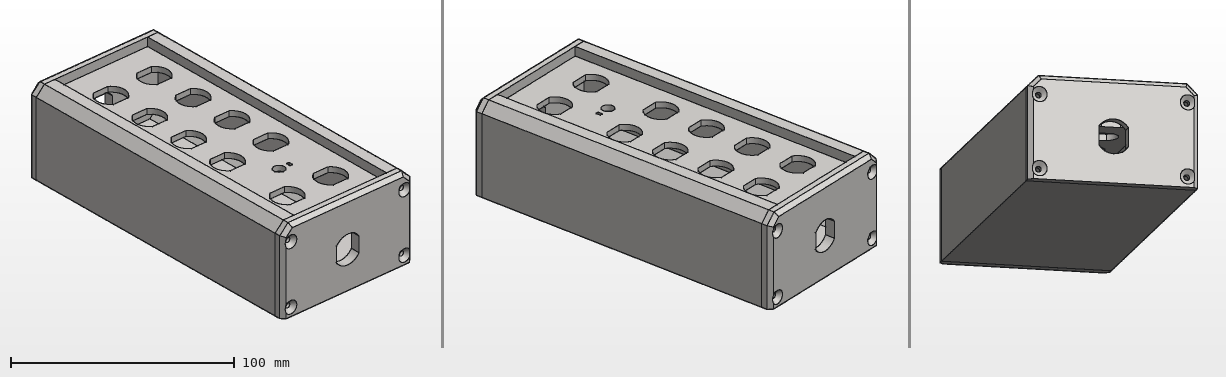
import cadquery as cq
import math

LENGTH = 170.0
WIDTH = 78.0
HEIGHT = 48.0
EDGE_CHAMFER = 5.0
SIDE_WALL = 5.0
FLOOR = 5.0

CAP_THICKNESS = 5.1
CAP_CHAMFER = 2.0

PANEL_WIDTH = 55.6
PANEL_RECESS = 5.0
PANEL_THICKNESS = 3.0

CUTOUT_DIAMETER = 16.0
CUTOUT_FLATS = 13.5
CUTOUT_PITCH_X = 26.0
CUTOUT_PITCH_Y = 26.0
CAP_CUTOUT_Z = 21.5
CUTOUT_END_X = 59.0
GRID_COLUMNS = 4

ROUND_HOLE_DIAMETER = 6.1
SLOT_LENGTH = 2.5
SLOT_WIDTH = 1.5
SLOT_OFFSET = 6.3

SCREW_DIAMETER = 2.5
SCREW_HEAD_DIAMETER = 7.0
SCREW_INSET = 5.0
SCREW_TOP_INSET = 9.0
SCREW_DEPTH = 10.2
DRILL_POINT_ANGLE = 118.0
CORNER_FILL = 5.0

HOUSING_LENGTH = LENGTH - 2 * CAP_THICKNESS
HOUSING_END = HOUSING_LENGTH / 2
PANEL_TOP = HEIGHT - PANEL_RECESS
PANEL_BOTTOM = PANEL_TOP - PANEL_THICKNESS
CAVITY_HALF_WIDTH = WIDTH / 2 - SIDE_WALL
UPPER_CORNER_FILL = CAVITY_HALF_WIDTH - PANEL_WIDTH / 2
GRID_X = [-CUTOUT_END_X + i * CUTOUT_PITCH_X for i in range(GRID_COLUMNS)]
CUTOUT_X = GRID_X + [CUTOUT_END_X]
ROUND_HOLE_X = (CUTOUT_X[-2] + CUTOUT_X[-1]) / 2
SCREW_POINTS = [
    (side * (WIDTH / 2 - SCREW_INSET), z)
    for side in (-1, 1)
    for z in (SCREW_INSET, HEIGHT - SCREW_TOP_INSET)
]


def outer_profile(x):
    """Enclosure outline in the YZ plane at the given X."""
    half = WIDTH / 2
    return cq.Workplane("YZ", origin=(x, 0, 0)).polyline([
        (-half, 0),
        (half, 0),
        (half, HEIGHT - EDGE_CHAMFER),
        (half - EDGE_CHAMFER, HEIGHT),
        (-half + EDGE_CHAMFER, HEIGHT),
        (-half, HEIGHT - EDGE_CHAMFER),
    ]).close()


def cavity_profile(x):
    """Inner outline, with sloped corners that leave material for the screws."""
    half = CAVITY_HALF_WIDTH
    return cq.Workplane("YZ", origin=(x, 0, 0)).polyline([
        (-half + CORNER_FILL, FLOOR),
        (half - CORNER_FILL, FLOOR),
        (half, FLOOR + CORNER_FILL),
        (half, PANEL_BOTTOM - UPPER_CORNER_FILL),
        (half - UPPER_CORNER_FILL, PANEL_BOTTOM),
        (-half + UPPER_CORNER_FILL, PANEL_BOTTOM),
        (-half, PANEL_BOTTOM - UPPER_CORNER_FILL),
        (-half, FLOOR + CORNER_FILL),
    ]).close()


def double_flat_cutter(depth):
    """Round bar along Z with two flats facing +X and -X, starting at Z = 0."""
    bar = cq.Workplane("XY").circle(CUTOUT_DIAMETER / 2).extrude(depth)
    flats = cq.Workplane("XY").rect(CUTOUT_FLATS, CUTOUT_DIAMETER).extrude(depth)
    return bar.intersect(flats)


def screw_hole_cutter():
    """Blind hole along +X from X = 0, ending in a drill point."""
    radius = SCREW_DIAMETER / 2
    point = radius / math.tan(math.radians(DRILL_POINT_ANGLE / 2))
    half_section = cq.Workplane("XY").polyline([
        (0, 0),
        (0, radius),
        (SCREW_DEPTH, radius),
        (SCREW_DEPTH + point, 0),
    ]).close()
    return half_section.revolve(360, (0, 0, 0), (1, 0, 0))


def make_housing():
    """Floor, side walls and top rails, open at both ends."""
    body = outer_profile(-HOUSING_END).extrude(HOUSING_LENGTH)
    body = body.cut(cavity_profile(-HOUSING_END).extrude(HOUSING_LENGTH))

    opening = cq.Workplane("XY", origin=(0, 0, PANEL_BOTTOM))
    opening = opening.rect(HOUSING_LENGTH, PANEL_WIDTH).extrude(HEIGHT - PANEL_BOTTOM)
    body = body.cut(opening)

    for y, z in SCREW_POINTS:
        left_hole = screw_hole_cutter().translate((-HOUSING_END, y, z))
        body = body.cut(left_hole).cut(left_hole.mirror("YZ"))
    return body


def make_panel():
    """Sunken top panel with two rows of cutouts."""
    base = cq.Workplane("XY", origin=(0, 0, PANEL_BOTTOM))
    panel = base.rect(HOUSING_LENGTH, PANEL_WIDTH).extrude(PANEL_THICKNESS)

    cutter = double_flat_cutter(PANEL_THICKNESS)
    for x in CUTOUT_X:
        for side in (-1, 1):
            panel = panel.cut(cutter.translate((x, side * CUTOUT_PITCH_Y / 2, PANEL_BOTTOM)))

    round_hole = base.center(ROUND_HOLE_X, 0).circle(ROUND_HOLE_DIAMETER / 2).extrude(PANEL_THICKNESS)
    slot = base.center(ROUND_HOLE_X, SLOT_OFFSET).rect(SLOT_LENGTH, SLOT_WIDTH).extrude(PANEL_THICKNESS)
    return panel.cut(round_hole).cut(slot)


def make_left_cap():
    """End cap at the -X end, with countersunk screw holes and one cutout."""
    cap = outer_profile(-LENGTH / 2).extrude(CAP_THICKNESS)
    cap = cap.faces("<X").edges("not <Z").chamfer(CAP_CHAMFER)

    cutter = double_flat_cutter(CAP_THICKNESS)
    cutter = cutter.rotate((0, 0, 0), (0, 1, 0), 90)
    cutter = cutter.rotate((0, 0, 0), (1, 0, 0), 90)
    cap = cap.cut(cutter.translate((-LENGTH / 2, 0, CAP_CUTOUT_Z)))

    head_radius = SCREW_HEAD_DIAMETER / 2
    screw_radius = SCREW_DIAMETER / 2
    sink = cq.Solid.makeCone(
        head_radius, screw_radius, head_radius - screw_radius, dir=cq.Vector(1, 0, 0)
    )
    shank = cq.Solid.makeCylinder(screw_radius, CAP_THICKNESS, dir=cq.Vector(1, 0, 0))
    for y, z in SCREW_POINTS:
        place = cq.Vector(-LENGTH / 2, y, z)
        cap = cap.cut(cq.Workplane(sink.translate(place)))
        cap = cap.cut(cq.Workplane(shank.translate(place)))
    return cap


housing = make_housing()
panel = make_panel()
left_cap = make_left_cap()
right_cap = left_cap.mirror("YZ")

result = cq.Compound.makeCompound([
    housing.val(),
    panel.val(),
    left_cap.val(),
    right_cap.val(),
])